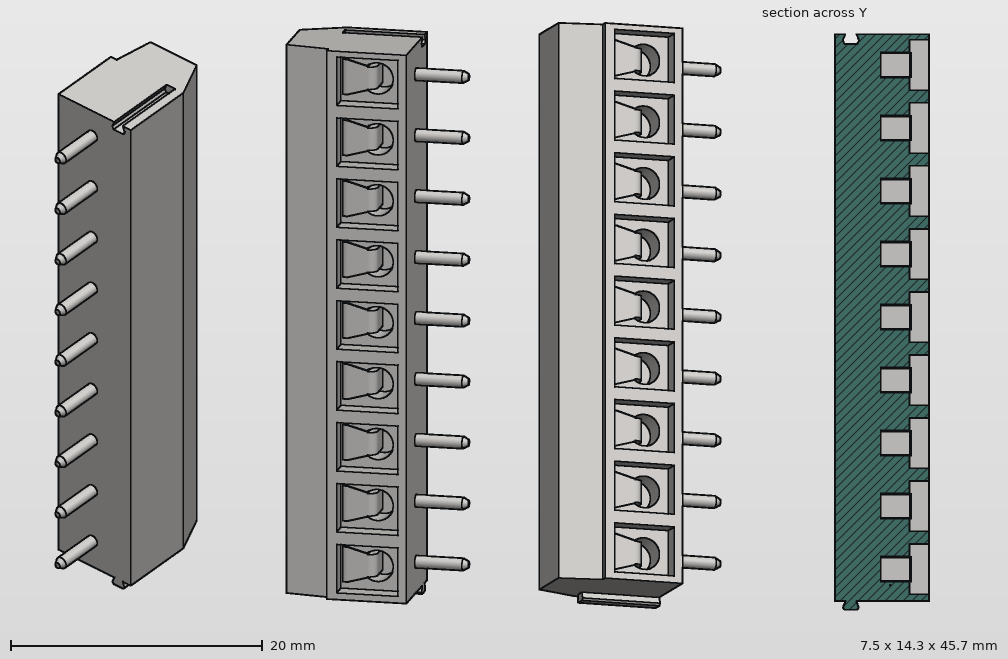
import cadquery as cq
import math

poles = 9
body_width = 7.5
body_height = 10.0
rail_height = 0.7
overall_length = 45.7
body_length = overall_length - rail_height
pitch = body_length / poles
pole_offset = 0.05

shoulder_y = 6.5
ledge_width = 0.6
crown_left = 1.15
crown_right = 5.95

dovetail_x = 6.2
dovetail_neck_width = 0.85
dovetail_wide_width = 1.3
dovetail_tip_width = 1.0
dovetail_wide_depth = 0.5
groove_depth = 0.78

window_bottom = 0.7
window_top = 5.65
window_length = 3.97
window_depth = 1.55

clamp_y = 2.7
clamp_radius = 1.3
clamp_depth = 2.3

guard_proud = 0.15
guard_root_y = 5.1
guard_bend_y = 3.45
guard_bend_radius = 0.7
guard_root_length = 2.9
guard_neck_length = 1.95
guard_tab_length = 1.85

pin_x = 3.5
pin_diameter = 1.0
pin_length = 4.3
pin_tip_diameter = 0.5
pin_taper_length = 0.45

pole_positions = [pitch * (i + 0.5) + pole_offset for i in range(poles)]
guard_face = window_depth - guard_proud
clamp_floor = window_depth + clamp_depth


def make_housing():
    outline = [
        (0, 0),
        (body_width, 0),
        (body_width, shoulder_y),
        (crown_right, body_height),
        (crown_left, body_height),
        (ledge_width, shoulder_y),
        (0, shoulder_y),
    ]
    return cq.Workplane("XY").polyline(outline).close().extrude(body_length)


def make_dovetail(base_z, depth):
    """Dovetail bar reaching down from base_z, from the pin side up to the shoulder."""
    half_outline = [
        (dovetail_neck_width / 2, base_z),
        (dovetail_wide_width / 2, base_z - dovetail_wide_depth),
        (dovetail_tip_width / 2, base_z - depth),
    ]
    right_side = [(dovetail_x + x, z) for x, z in half_outline]
    left_side = [(dovetail_x - x, z) for x, z in reversed(half_outline)]
    return cq.Workplane("XZ").polyline(right_side + left_side).close().extrude(-shoulder_y)


def make_window(z):
    pocket = cq.Workplane("XY").box(
        window_depth, window_top - window_bottom, window_length, centered=(False, False, True)
    ).translate((0, window_bottom, z))
    clamp_hole = (
        cq.Workplane("YZ", origin=(window_depth, clamp_y, z)).circle(clamp_radius).extrude(clamp_depth)
    )
    return pocket.union(clamp_hole)


def make_guard(z):
    plate = (
        cq.Workplane("YZ", origin=(guard_face, 0, z))
        .polyline([
            (guard_root_y, -guard_root_length / 2),
            (guard_root_y, guard_root_length / 2),
            (guard_bend_y, guard_neck_length / 2),
            (guard_bend_y, -guard_neck_length / 2),
        ])
        .close()
        .extrude(guard_proud)
    )
    root_run = math.sqrt(guard_bend_radius**2 - (guard_bend_radius - guard_proud) ** 2)
    root = (
        cq.Workplane("XY", origin=(0, 0, z - guard_root_length / 2))
        .moveTo(guard_face, guard_root_y)
        .radiusArc((window_depth, guard_root_y + root_run), guard_bend_radius)
        .lineTo(window_depth, guard_root_y)
        .close()
        .extrude(guard_root_length)
    )
    tab_bottom = guard_bend_y - guard_bend_radius
    tab = (
        cq.Workplane("XY", origin=(0, 0, z - guard_tab_length / 2))
        .moveTo(guard_face, guard_bend_y)
        .radiusArc((guard_face + guard_bend_radius, tab_bottom), -guard_bend_radius)
        .lineTo(clamp_floor, tab_bottom)
        .lineTo(clamp_floor, guard_bend_y)
        .close()
        .extrude(guard_tab_length)
    )
    return plate.union(root).union(tab)


def make_pin(z):
    return (
        cq.Workplane("XY", origin=(pin_x, 0, z))
        .polyline([
            (0, 0),
            (pin_diameter / 2, 0),
            (pin_diameter / 2, pin_taper_length - pin_length),
            (pin_tip_diameter / 2, -pin_length),
            (0, -pin_length),
        ])
        .close()
        .revolve(360, (0, 0, 0), (0, 1, 0))
    )


groove = make_dovetail(body_length, groove_depth)
rail = make_dovetail(0, rail_height)
result = make_housing().cut(groove).union(rail)
for pole_z in pole_positions:
    result = (
        result.cut(make_window(pole_z))
        .union(make_guard(pole_z))
        .union(make_pin(pole_z))
    )